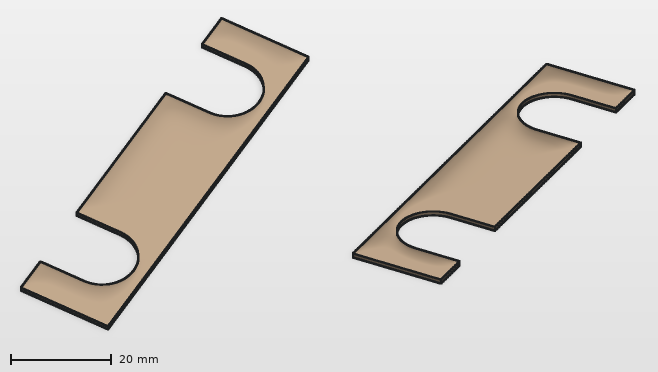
import cadquery as cq

plate_width = 20.0
plate_length = 80.0
thickness = 1.0

slot_width = 14.5
slot_spacing = 50.0
slot_radius = slot_width / 2
slot_arc_x = 0.0


def open_slot(center_y):
    """Cutter running from the -X edge to a full-radius end."""
    edge_x = -plate_width / 2
    return (
        cq.Workplane("XY")
        .moveTo(edge_x, center_y - slot_radius)
        .lineTo(slot_arc_x, center_y - slot_radius)
        .threePointArc(
            (slot_arc_x + slot_radius, center_y),
            (slot_arc_x, center_y + slot_radius),
        )
        .lineTo(edge_x, center_y + slot_radius)
        .close()
        .extrude(thickness, both=True)
    )


result = cq.Workplane("XY").box(plate_width, plate_length, thickness)
for side in (-1, 1):
    result = result.cut(open_slot(side * slot_spacing / 2))